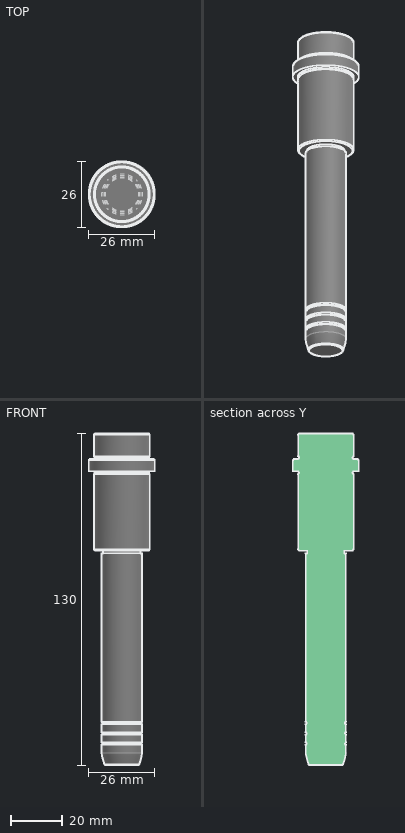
import cadquery as cq

total_length = 130.0
flange_top = total_length - 10.0
flange_thickness = 5.0
flange_bottom = flange_top - flange_thickness
collar_bottom = total_length - 46.0
neck_length = 1.0
nose_length = 5.0

flange_diameter = 26.0
collar_diameter = 22.0
shaft_diameter = 16.0
neck_diameter = 14.8
nose_diameter = 13.8

edge_chamfer = 0.5
nose_chamfer = 0.4
undercut_width = 1.0

groove_count = 3
groove_pitch = 4.0
groove_width = 1.0
first_groove_bottom = 7.9

nose_bulge = 0.15


def cylinder(diameter, bottom, top):
    """Upright cylinder on the Z axis."""
    return cq.Workplane("XY").workplane(offset=bottom).circle(diameter / 2).extrude(top - bottom)


def v_groove(diameter, bottom, width):
    """Ring-shaped cutter for a 90 degree V groove in a cylinder of the given diameter."""
    radius = diameter / 2
    half_width = width / 2
    middle = bottom + half_width
    return (
        cq.Workplane("XZ")
        .moveTo(radius, bottom)
        .lineTo(radius + half_width, middle)
        .lineTo(radius, bottom + width)
        .lineTo(radius - half_width, middle)
        .close()
        .revolve(360, (0, 0, 0), (0, 1, 0))
    )


def make_nose():
    """Nose with a gently curved flank and a small chamfer at its tip."""
    shaft_radius = shaft_diameter / 2
    nose_radius = nose_diameter / 2
    middle_radius = (shaft_radius + nose_radius) / 2 + nose_bulge
    middle_height = (nose_length + nose_chamfer) / 2
    return (
        cq.Workplane("XZ")
        .lineTo(nose_radius - nose_chamfer, 0)
        .lineTo(nose_radius, nose_chamfer)
        .threePointArc((middle_radius, middle_height), (shaft_radius, nose_length))
        .lineTo(0, nose_length)
        .close()
        .revolve(360, (0, 0, 0), (0, 1, 0))
    )


def make_shaft():
    """Straight shaft with ring grooves near the nose, reaching up to the neck."""
    shaft = cylinder(shaft_diameter, nose_length, collar_bottom - neck_length)
    for index in range(groove_count):
        bottom = first_groove_bottom + index * groove_pitch
        shaft = shaft.cut(v_groove(shaft_diameter, bottom, groove_width))
    return shaft


def make_collar():
    """Chamfered collar and head with a V-shaped undercut on each side of the flange."""
    collar = cylinder(collar_diameter, collar_bottom, total_length).edges().chamfer(edge_chamfer)
    for bottom in (flange_bottom - undercut_width, flange_top):
        collar = collar.cut(v_groove(collar_diameter, bottom, undercut_width))
    return collar


neck = cylinder(neck_diameter, collar_bottom - neck_length, collar_bottom)
flange = cylinder(flange_diameter, flange_bottom, flange_top).faces(">Z").edges().chamfer(edge_chamfer)

result = make_nose().union(make_shaft()).union(neck).union(make_collar()).union(flange)